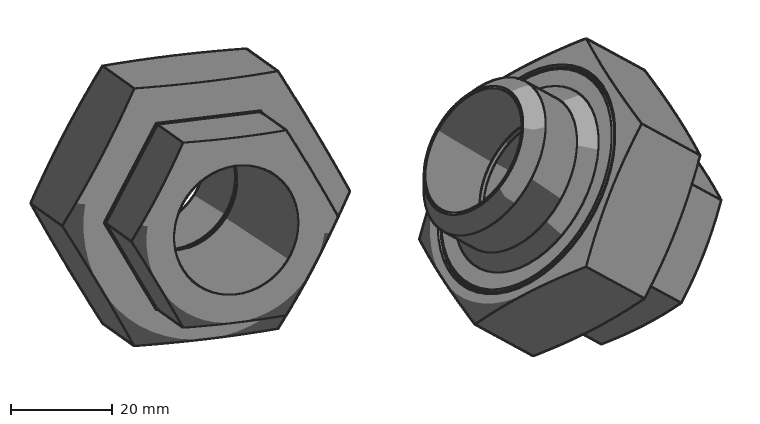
import cadquery as cq
import math


total_length = 48.0
bevel_length = 3.1
shoulder_start = 11.9
nut_start = 14.9
nut_end = 33.55
collar_straight_width = 0.2
collar_taper_width = 0.3
taper_start = nut_end + collar_straight_width
collar_end = taper_start + collar_taper_width

nut_corner_diameter = 61.1
body_flat_width = 38.0
collar_flat_width = 38.4
corner_chamfer_angle = 15.0

tail_radius = 16.8
tip_radius = tail_radius - bevel_length
shoulder_radius = tail_radius + (nut_start - shoulder_start)

bore_radius = 13.2
relief_start = 15.3
relief_depth = 0.6
relief_floor_width = 0.4

groove_inner_radius = 23.4
groove_outer_radius = 24.4
groove_depth = 0.35

flat_ratio = math.cos(math.radians(30))
nut_flat_width = nut_corner_diameter * flat_ratio


def revolve_profile(points):
    """Revolve an outline of (x, radius) points around the X axis."""
    return cq.Workplane("XY").polyline(points).close().revolve(360, (0, 0, 0), (1, 0, 0))


def hex_prism(flat_width, x_start, x_end):
    """Hexagonal prism along X with its corners on the Y axis."""
    section = cq.Workplane("YZ").workplane(offset=x_start)
    return section.polygon(6, flat_width / flat_ratio).extrude(x_end - x_start)


def corner_chamfer_cone(flat_width, x_start, x_end, chamfer_start):
    """Turned envelope that trims the hexagon corners at the far end, and at the start if asked."""
    flat_radius = flat_width / 2
    corner_radius = flat_radius / flat_ratio
    setback = (corner_radius - flat_radius) * math.tan(math.radians(corner_chamfer_angle))
    points = [(x_start, 0)]
    if chamfer_start:
        points += [(x_start, flat_radius), (x_start + setback, corner_radius)]
    else:
        points += [(x_start, corner_radius)]
    points += [(x_end - setback, corner_radius), (x_end, flat_radius), (x_end, 0)]
    return revolve_profile(points)


def chamfered_hex(flat_width, x_start, x_end, chamfer_start=True):
    """Hexagonal prism with its corners turned down to the flats at the ends."""
    envelope = corner_chamfer_cone(flat_width, x_start, x_end, chamfer_start)
    return hex_prism(flat_width, x_start, x_end).intersect(envelope)


def weld_tail():
    """Bevelled pipe end with a 45 degree shoulder running into the nut."""
    return revolve_profile([
        (0, 0),
        (0, tip_radius),
        (bevel_length, tail_radius),
        (shoulder_start, tail_radius),
        (nut_start, shoulder_radius),
        (nut_start, 0),
    ])


def ring_groove():
    """Groove in the nut face with sloping walls and a narrow flat floor."""
    floor = nut_start + groove_depth
    return revolve_profile([
        (nut_start, groove_inner_radius),
        (floor, groove_inner_radius + groove_depth),
        (floor, groove_outer_radius - groove_depth),
        (nut_start, groove_outer_radius),
    ])


def through_bore():
    """Straight bore with a relief: square wall, flat floor, 45 degree return."""
    relief_radius = bore_radius + relief_depth
    relief_floor_end = relief_start + relief_floor_width
    return revolve_profile([
        (0, 0),
        (0, bore_radius),
        (relief_start, bore_radius),
        (relief_start, relief_radius),
        (relief_floor_end, relief_radius),
        (relief_floor_end + relief_depth, bore_radius),
        (total_length, bore_radius),
        (total_length, 0),
    ])


def body_collar():
    """Slightly wider hexagonal lip tapering down to the flats of the body."""
    flat_step = (collar_flat_width - body_flat_width) / 2
    taper_angle = math.degrees(math.atan2(flat_step, collar_taper_width))
    lip = hex_prism(collar_flat_width, nut_end, taper_start)
    return lip.faces(">X").wires().toPending().extrude(collar_taper_width, taper=taper_angle)


nut = chamfered_hex(nut_flat_width, nut_start, nut_end)
body = chamfered_hex(body_flat_width, collar_end, total_length, chamfer_start=False)

result = weld_tail().union(nut).union(body_collar()).union(body)
result = result.cut(ring_groove()).cut(through_bore())